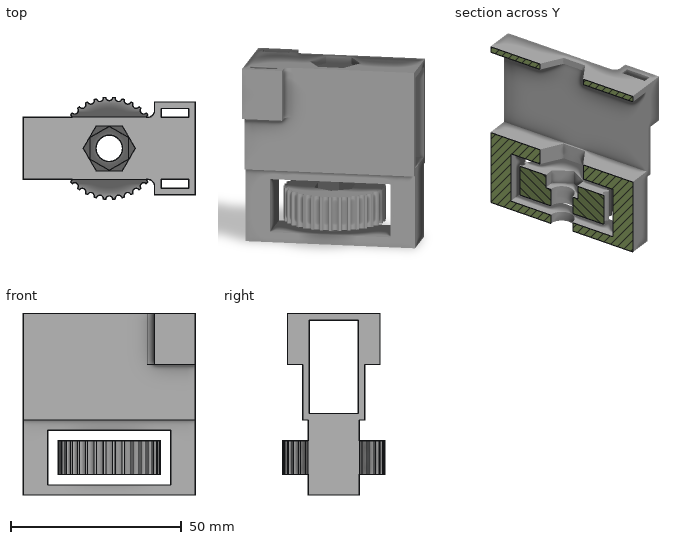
import cadquery as cq
import math

wall = 2.0
tube_length = 50.5
cavity_width = 14.25
cavity_height = 27.25
tube_width = cavity_width + 2 * wall
tube_height = cavity_height + 2 * wall

frame_width = 15.0
frame_height = 22.0
window_length = 36.0
window_height = 16.0
frame_floor = 3.0

slot_length = 8.0
slot_width = 2.5
loop_length = slot_length + 2 * wall
loop_depth = slot_width + wall
loop_height = 15.0
loop_fillet = 2.0

bore_diameter = 7.65
passage_hex_corners = 15.25

wheel_radius = 15.0
wheel_thickness = 10.0
notch_count = 34
notch_radius = 1.0
first_notch_angle = 90.0
nut_hex_flats = 11.15
nut_hex_turn = 30.0
nut_hex_corners = nut_hex_flats / math.cos(math.radians(nut_hex_turn))
nut_pocket_depth = 4.25

tube_end = tube_length / 2
tube_side = tube_width / 2
total_height = frame_height + tube_height
window_top = frame_floor + window_height
window_middle = (frame_floor + window_top) / 2
wheel_bottom = window_middle - wheel_thickness / 2
wheel_top = wheel_bottom + wheel_thickness


def block(length, width, height, bottom):
    """Box centred on the Z axis, standing on the given height."""
    return (
        cq.Workplane("XY")
        .workplane(offset=bottom)
        .rect(length, width)
        .extrude(height)
    )


def make_loop():
    """Strap loop on the +Y side: slotted block with a concave fillet against the tube."""
    loop_start = tube_end - loop_length
    loop_bottom = total_height - loop_height
    loop_side = tube_side + loop_depth
    inner_side = tube_side - wall
    arc_rise = loop_fillet * (1 - math.sqrt(0.5))
    solid_loop = (
        cq.Workplane("XY")
        .workplane(offset=loop_bottom)
        .moveTo(tube_end, inner_side)
        .lineTo(tube_end, loop_side)
        .lineTo(loop_start, loop_side)
        .lineTo(loop_start, tube_side + loop_fillet)
        .threePointArc(
            (loop_start - arc_rise, tube_side + arc_rise),
            (loop_start - loop_fillet, tube_side),
        )
        .lineTo(loop_start - loop_fillet, inner_side)
        .close()
        .extrude(loop_height)
    )
    slot = block(slot_length, slot_width, loop_height, loop_bottom).translate(
        (tube_end - loop_length / 2, tube_side + slot_width / 2, 0)
    )
    return solid_loop.cut(slot)


def make_housing():
    """Tube, wheel frame and strap loops in one piece."""
    body = block(tube_length, tube_width, tube_height, frame_height)
    body = body.union(block(tube_length, frame_width, frame_height, 0))
    loop = make_loop()
    body = body.union(loop).union(loop.mirror("XZ"))

    cavity = block(tube_length, cavity_width, cavity_height, frame_height + wall)
    window = block(window_length, frame_width, window_height, frame_floor)
    bore = cq.Workplane("XY").circle(bore_diameter / 2).extrude(total_height)
    nut_passage = (
        cq.Workplane("XY")
        .workplane(offset=window_top)
        .polygon(6, passage_hex_corners)
        .extrude(total_height - window_top)
    )
    return body.cut(cavity).cut(window).cut(bore).cut(nut_passage)


def make_wheel():
    """Thumb wheel with round grip notches, a bore and a nut pocket in its top face."""
    base = cq.Workplane("XY").workplane(offset=wheel_bottom)
    wheel = base.circle(wheel_radius).circle(bore_diameter / 2).extrude(wheel_thickness)
    notches = (
        base.polarArray(wheel_radius, first_notch_angle, 360, notch_count)
        .circle(notch_radius)
        .extrude(wheel_thickness)
    )
    nut_pocket = (
        cq.Workplane("XY")
        .workplane(offset=wheel_top - nut_pocket_depth)
        .transformed(rotate=(0, 0, nut_hex_turn))
        .polygon(6, nut_hex_corners)
        .extrude(nut_pocket_depth)
    )
    return wheel.cut(notches).cut(nut_pocket)


housing = make_housing()
wheel = make_wheel()

result = cq.Compound.makeCompound([housing.val(), wheel.val()])